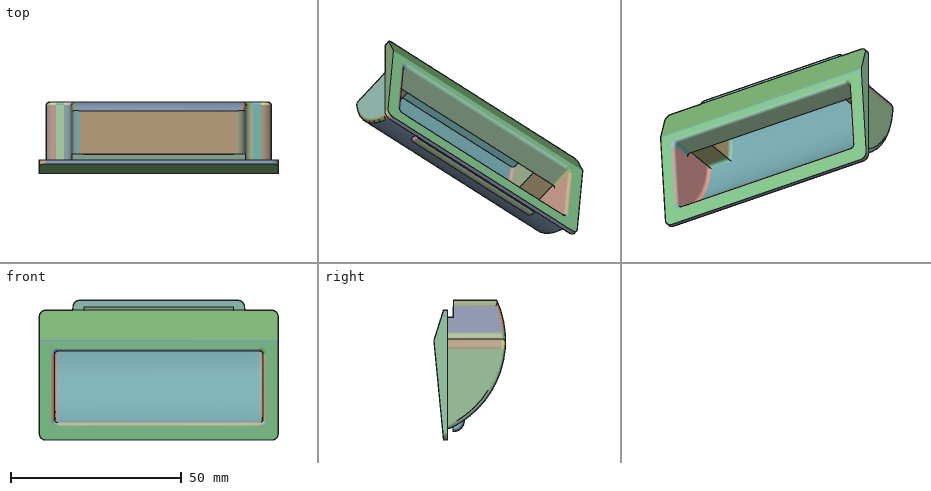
import cadquery as cq
import math

flange_width = 70.0
flange_height = 38.1
flange_corner_radius = 2.0
edge_thickness = 1.2
crest_depth = 4.02
crest_z = 29.2
crest_radius = 1.0

housing_half_width = 33.0
housing_bottom = 3.5
shoulder_z = 29.6
neck_half_width = 25.0
neck_top = 41.0
neck_draft = 4.0
shoulder_radius = 3.0
neck_radius = 2.0
back_edge_radius = 1.0

back_depth = 17.0
back_radius = 28.3
back_centre_y = back_depth - back_radius
back_centre_z = 29.1

slot_width = 1.68
slot_floor = 36.0

side_wall = 2.5
back_wall = 2.0
top_wall = 2.0
cavity_front = slot_width + back_wall
cavity_fillet = 1.0
opening_half_width = housing_half_width - side_wall
opening_bottom = 5.15
opening_top = 26.1
opening_corner_radius = 1.0
opening_lip_radius = 1.0

snap_width = 43.8
pad_top = 39.05
pad_thickness = 0.06
catch_bottom = 2.5
catch_back = 4.9
catch_back_z = 6.0
catch_root_y = 4.0
catch_root_z = 7.0
catch_rake = 0.15
catch_nose_radius = 3.2
catch_end_radius = 0.8

overlap = 1.0
tolerance = 0.1


def extrude_yz(profile, width):
    """Extrude a closed YZ profile symmetrically about X = 0."""
    return profile.close().extrude(width / 2, both=True)


def extrude_xz(sketch, start_y, end_y):
    """Extrude a closed XZ sketch, drawn on Y = 0, from start_y to end_y."""
    return sketch.extrude(start_y - end_y).translate((0, start_y, 0))


def neck_foot_half_width(top_half_width, height):
    """Half width of a drafted neck at its foot."""
    return top_half_width + height * math.tan(math.radians(neck_draft))


def stepped_block(lower_half, bottom, shoulder, upper_half, top, start_y):
    """Block with a wide base and a drafted neck, reaching back past the round."""
    foot_half = neck_foot_half_width(upper_half, top - shoulder)
    right = [(lower_half, bottom), (lower_half, shoulder), (foot_half, shoulder), (upper_half, top)]
    left = [(-x, z) for x, z in reversed(right)]
    return extrude_xz(cq.Workplane("XZ").polyline(right + left).close(), start_y, back_depth + overlap)


def round_edges(block, half_width, z, radius):
    """Round the pair of Y-direction edges at X = +/- half_width and height z."""
    reach = 2 * back_depth
    for x in (-half_width, half_width):
        selector = cq.selectors.BoxSelector(
            (x - tolerance, -reach, z - tolerance), (x + tolerance, reach, z + tolerance)
        )
        block = block.edges("|Y").edges(selector).fillet(radius)
    return block


def back_cylinder(radius):
    """Cylinder along X that bounds the round back."""
    disc = cq.Workplane("YZ").center(back_centre_y, back_centre_z).circle(radius)
    return disc.extrude(flange_width, both=True)


def back_rim(solid):
    """Edges that run up both sides of the round back, without its top and bottom edges."""
    back_face = solid.faces("%CYLINDER").faces(">Y")
    rim = back_face.edges().filter(lambda edge: edge.BoundingBox().xlen < neck_half_width)
    return solid.newObject(rim.vals())


def make_flange():
    profile = (
        cq.Workplane("YZ")
        .moveTo(0, 0)
        .lineTo(-edge_thickness, 0)
        .lineTo(-crest_depth, crest_z)
        .lineTo(-edge_thickness, flange_height)
        .lineTo(0, flange_height)
    )
    plate = extrude_yz(profile, flange_width)
    plate = plate.edges("<Y").fillet(crest_radius)
    outline = (
        cq.Workplane("XZ")
        .center(0, flange_height / 2)
        .rect(flange_width, flange_height)
        .extrude(crest_depth)
        .edges("|Y")
        .fillet(flange_corner_radius)
    )
    return plate.intersect(outline)


def make_housing():
    block = stepped_block(
        housing_half_width, housing_bottom, shoulder_z, neck_half_width, neck_top, 0
    )
    neck_foot = neck_foot_half_width(neck_half_width, neck_top - shoulder_z)
    block = round_edges(block, housing_half_width, shoulder_z, shoulder_radius)
    block = round_edges(block, neck_foot, shoulder_z, neck_radius)
    housing = block.intersect(back_cylinder(back_radius))
    housing = back_rim(housing).fillet(back_edge_radius)
    rounded_top = round_edges(block, neck_half_width, neck_top, neck_radius)
    housing = housing.intersect(rounded_top)
    slot = cq.Workplane("XY").box(
        flange_width, slot_width, neck_top - slot_floor, centered=(True, False, False)
    )
    return housing.cut(slot.translate((0, 0, slot_floor)))


def make_pad():
    """Thin raised pad on the neck face that looks into the panel slot."""
    pad = cq.Workplane("XY").box(
        snap_width, 2 * pad_thickness, pad_top - slot_floor, centered=(True, True, False)
    )
    return pad.translate((0, slot_width, slot_floor))


def make_catch():
    profile = (
        cq.Workplane("YZ")
        .moveTo(slot_width, housing_bottom + overlap)
        .lineTo(slot_width - catch_rake, housing_bottom)
        .lineTo(slot_width, catch_bottom)
        .radiusArc((catch_back, catch_back_z), -catch_nose_radius)
        .lineTo(catch_root_y, catch_root_z)
    )
    catch = extrude_yz(profile, snap_width)
    return catch.edges("%CIRCLE").fillet(catch_end_radius)


def make_cavity():
    opening = (
        cq.Workplane("XZ")
        .center(0, (opening_bottom + opening_top) / 2)
        .rect(2 * opening_half_width, opening_top - opening_bottom)
    )
    opening = extrude_xz(opening, -crest_depth, back_depth)
    opening = opening.edges("|Y").fillet(opening_corner_radius)
    upper = stepped_block(
        opening_half_width,
        opening_bottom + opening_corner_radius,
        shoulder_z - top_wall,
        neck_half_width - side_wall,
        neck_top - top_wall,
        cavity_front,
    )
    cavity = opening.union(upper).intersect(back_cylinder(back_radius - back_wall))
    return back_rim(cavity).fillet(cavity_fillet)


def opening_edges(handle):
    """Front edges of the finger opening, where it meets the face of the flange."""
    lip = cq.selectors.BoxSelector(
        (-opening_half_width - tolerance, -crest_depth - tolerance, opening_bottom - tolerance),
        (opening_half_width + tolerance, -edge_thickness, opening_top + tolerance),
        boundingbox=True,
    )
    return handle.edges(lip).edges("not |Y")


def make_handle():
    handle = make_flange().union(make_housing()).union(make_pad()).union(make_catch())
    handle = handle.cut(make_cavity())
    return opening_edges(handle).fillet(opening_lip_radius)


result = make_handle()